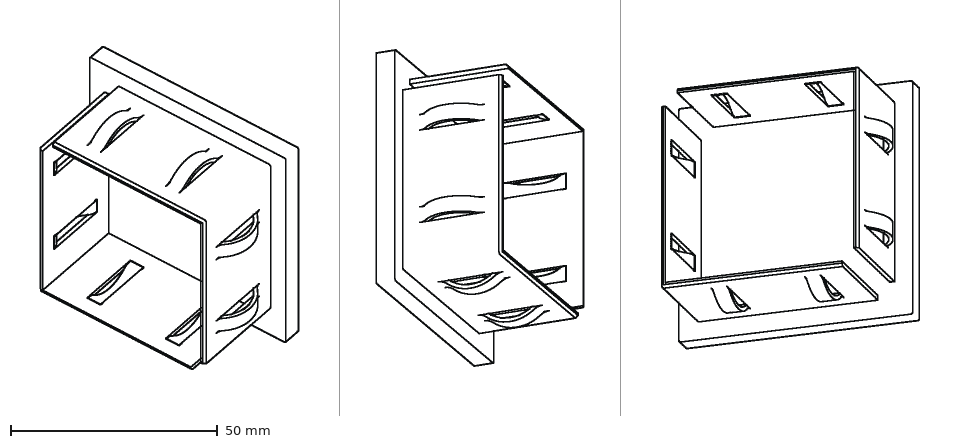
import cadquery as cq
import math

plate_size = 60.0
plate_thickness = 5.0
plate_corner = 0.5

total_depth = 31.0
skirt_depth = total_depth - plate_thickness
skirt_half = 25.4
skirt_free_end = 21.1
wall_thickness = 1.2
skirt_corner = 0.7
rim_chamfer = 0.65

clip_spacing = 24.0
clip_width = 4.0
slot_length = 17.0
clip_thickness = 1.0
side_clip_rise = 3.65
side_clip_radius = 9.3
end_clip_rise = 2.95
end_clip_radius = 10.15

clip_y = -skirt_depth / 2
overlap = 0.6


def make_plate():
    plate = cq.Workplane("XY").box(plate_size, plate_thickness, plate_size)
    plate = plate.edges("|Y").fillet(plate_corner)
    return plate.translate((0, plate_thickness / 2, 0))


def make_skirt():
    """L-shaped skirt along the top and right sides, with a rounded outer corner and a bevelled rim."""
    inner_face = skirt_half - wall_thickness
    outline = [
        (-skirt_free_end, skirt_half),
        (skirt_half, skirt_half),
        (skirt_half, -skirt_free_end),
        (inner_face, -skirt_free_end),
        (inner_face, inner_face),
        (-skirt_free_end, inner_face),
    ]
    skirt = cq.Workplane("XZ").polyline(outline).close().extrude(skirt_depth)
    outer_corner = cq.selectors.NearestToPointSelector((skirt_half, -skirt_depth / 2, skirt_half))
    skirt = skirt.edges(outer_corner).fillet(skirt_corner)
    rim = skirt.faces("<Y").edges(">X or >Z or %CIRCLE")
    return rim.chamfer(rim_chamfer)


def make_clip(rise, crest_radius):
    """Arched strip on the top wall: a crest arc running smoothly into a concave foot at each end."""
    half_length = slot_length / 2
    turn = 2 * math.atan2(rise, half_length)
    foot_radius = half_length / math.sin(turn) - crest_radius

    def profile_points(depth):
        """Right half of the strip's curve, the given depth below its outer surface."""
        crest = crest_radius - depth
        foot = foot_radius + depth
        crest_centre = rise - crest_radius

        def on_crest(angle):
            return (crest * math.sin(angle), crest_centre + crest * math.cos(angle))

        def on_foot(angle):
            return (half_length - foot * math.sin(angle), foot_radius - foot * math.cos(angle))

        return on_crest(0), on_crest(turn), on_foot(turn / 2), on_foot(0)

    def mirrored(point):
        return (-point[0], point[1])

    top_crest, top_joint, top_foot_middle, top_end = profile_points(0)
    low_crest, low_joint, low_foot_middle, low_end = profile_points(clip_thickness)
    strip = (
        cq.Workplane("YZ")
        .moveTo(*mirrored(top_end))
        .threePointArc(mirrored(top_foot_middle), mirrored(top_joint))
        .threePointArc(top_crest, top_joint)
        .threePointArc(top_foot_middle, top_end)
        .lineTo(*low_end)
        .threePointArc(low_foot_middle, low_joint)
        .threePointArc(low_crest, mirrored(low_joint))
        .threePointArc(mirrored(low_foot_middle), mirrored(low_end))
        .close()
        .extrude(clip_width / 2, both=True)
    )
    return strip.translate((0, clip_y, skirt_half))


def make_slot():
    slot = cq.Workplane("XY").box(clip_width, slot_length, wall_thickness + 2 * overlap)
    return slot.translate((0, clip_y, skirt_half - wall_thickness / 2))


def turned(shape, angle):
    return shape.rotate((0, 0, 0), (0, 1, 0), angle)


result = make_plate()
for skirt_angle in (0, 180):
    result = result.union(turned(make_skirt(), skirt_angle))

slot = make_slot()
end_clip = make_clip(end_clip_rise, end_clip_radius)
side_clip = make_clip(side_clip_rise, side_clip_radius)
for wall_angle, clip in ((0, end_clip), (90, side_clip), (180, end_clip), (270, side_clip)):
    for offset in (-clip_spacing / 2, clip_spacing / 2):
        result = result.cut(turned(slot.translate((offset, 0, 0)), wall_angle))
        result = result.union(turned(clip.translate((offset, 0, 0)), wall_angle))